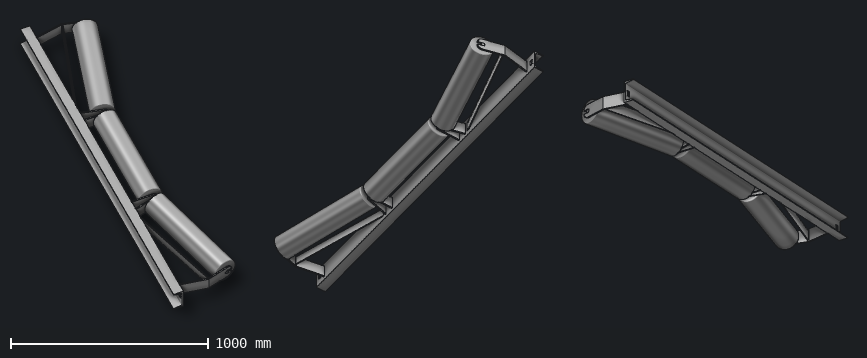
import cadquery as cq
import math


CHANNEL_LENGTH = 1900.0
CHANNEL_HEIGHT = 120.0
FLANGE_WIDTH = 55.0
WEB_THICKNESS = 8.0
FLANGE_TIP_THICKNESS = 5.0
FLANGE_ROOT_THICKNESS = 13.0
ROOT_RADIUS = 8.0
FLANGE_TIP_RADIUS = 4.8
END_HOLE_WIDTH = 17.0
END_HOLE_HEIGHT = 28.0
END_HOLE_INSET = 28.0

PLATE_THICKNESS = 8.0
PLATE_WIDTH = 72.0
PLATE_GAP = 4.0

ROLLER_RADIUS = 66.0
ROLLER_LENGTH = 570.0
ROLLER_EDGE_RADIUS = 5.0
TROUGH_ANGLE = 15.0
CENTRE_ROLLER_Y = 118.0
SIDE_ROLLER_X = 597.0
SIDE_ROLLER_Y = 195.0
AXLE_RADIUS = 10.0

PLATE_NEAR = ROLLER_LENGTH / 2 + PLATE_GAP
PLATE_FAR = PLATE_NEAR + PLATE_THICKNESS
PLATE_MIDDLE = (PLATE_NEAR + PLATE_FAR) / 2
AXLE_LENGTH = 2 * PLATE_FAR

OUTER_PLATE_RISE = 30.0
OUTER_PLATE_DROP = 120.0
OUTER_CORNER_RADIUS = 28.0
OUTER_LEG_ANGLE = 10.0

INNER_BRACKET_TOP = 140.0
INNER_BEND_RADIUS = 10.0

SLOT_LENGTH = 3 * PLATE_WIDTH
SLOT_DEPTH = 3 * PLATE_THICKNESS

BRACE_THICKNESS = 4.8
BRACE_WIDTH = 57.0
BRACE_ANGLE = 16.9
BRACE_ABOVE_BEND = 10.0

TILT = math.radians(TROUGH_ANGLE)
AXIS_DIRECTION = cq.Vector(math.cos(TILT), math.sin(TILT), 0)
PLATE_DIRECTION = cq.Vector(-math.sin(TILT), math.cos(TILT), 0)
SIDE_CENTRE = cq.Vector(SIDE_ROLLER_X, SIDE_ROLLER_Y, 0)
CENTRE_CENTRE = cq.Vector(0, CENTRE_ROLLER_Y, 0)


def side_point(along, above):
    """Point (x, y) measured from the +X side roller's middle, along its axis and square to it."""
    point = SIDE_CENTRE + AXIS_DIRECTION * along + PLATE_DIRECTION * above
    return point.x, point.y


def point_at_y(start, direction, y):
    """Point (x, y) where the line through start along direction reaches the given y."""
    step = (y - start[1]) / direction.y
    return start[0] + direction.x * step, y


def extrude_outline(points, width):
    """Plate with the given outline in XY and its width centred on Z = 0."""
    return cq.Workplane("XY", origin=(0, 0, -width / 2)).polyline(points).close().extrude(width)


def cylinder_along_x(radius, length):
    return cq.Workplane("YZ", origin=(-length / 2, 0, 0)).circle(radius).extrude(length)


def axle_slot(roller_centre, axis, along):
    """Cutter for a slot with a round bottom on the axle, open towards the top of the plate."""
    start = roller_centre + axis * (along - SLOT_DEPTH / 2)
    plane = cq.Plane(origin=start, xDir=(0, 0, 1), normal=axis)
    round_bottom = cq.Workplane(plane).circle(AXLE_RADIUS).extrude(SLOT_DEPTH)
    straight = cq.Workplane(plane).center(0, -SLOT_LENGTH / 2).rect(2 * AXLE_RADIUS, SLOT_LENGTH)
    return round_bottom.union(straight.extrude(SLOT_DEPTH))


def round_long_edges(channel, y, z, radius):
    """Fillet the two edges along X at (y, z) and (y, -z)."""
    upper = channel.edges(cq.selectors.NearestToPointSelector((0, y, z)))
    lower = channel.edges(cq.selectors.NearestToPointSelector((0, y, -z)))
    return upper.add(lower).fillet(radius)


def make_channel():
    half = CHANNEL_HEIGHT / 2
    root_z = half - FLANGE_ROOT_THICKNESS
    tip_z = half - FLANGE_TIP_THICKNESS
    profile = [
        (0, -half),
        (-FLANGE_WIDTH, -half),
        (-FLANGE_WIDTH, -tip_z),
        (-WEB_THICKNESS, -root_z),
        (-WEB_THICKNESS, root_z),
        (-FLANGE_WIDTH, tip_z),
        (-FLANGE_WIDTH, half),
        (0, half),
    ]
    start = cq.Workplane("YZ", origin=(-CHANNEL_LENGTH / 2, 0, 0))
    channel = start.polyline(profile).close().extrude(CHANNEL_LENGTH)
    channel = round_long_edges(channel, -WEB_THICKNESS, root_z, ROOT_RADIUS)
    channel = round_long_edges(channel, -FLANGE_WIDTH, tip_z, FLANGE_TIP_RADIUS)

    hole_x = CHANNEL_LENGTH / 2 - END_HOLE_INSET
    end_holes = (
        cq.Workplane("XZ")
        .pushPoints([(-hole_x, 0), (hole_x, 0)])
        .rect(END_HOLE_WIDTH, END_HOLE_HEIGHT)
        .extrude(WEB_THICKNESS)
    )
    return channel.cut(end_holes)


def make_roller():
    """Roller along X, centred on the origin."""
    shell = cylinder_along_x(ROLLER_RADIUS, ROLLER_LENGTH)
    shell = shell.edges("%CIRCLE").fillet(ROLLER_EDGE_RADIUS)
    return shell.union(cylinder_along_x(AXLE_RADIUS, AXLE_LENGTH))


def make_outer_bracket():
    """Plate at the outer end of the +X side roller, bent once and standing on the channel."""
    leg_tilt = math.radians(OUTER_LEG_ANGLE)
    leg_direction = cq.Vector(math.sin(leg_tilt), math.cos(leg_tilt), 0)
    bend_rise = PLATE_THICKNESS * math.tan((TILT + leg_tilt) / 2)
    bend_far = side_point(PLATE_FAR, -OUTER_PLATE_DROP)
    bend_near = side_point(PLATE_NEAR, -OUTER_PLATE_DROP + bend_rise)
    outline = [
        side_point(PLATE_NEAR, OUTER_PLATE_RISE),
        side_point(PLATE_FAR, OUTER_PLATE_RISE),
        bend_far,
        point_at_y(bend_far, leg_direction, 0),
        point_at_y(bend_near, leg_direction, 0),
        bend_near,
    ]
    bracket = extrude_outline(outline, PLATE_WIDTH)

    top_x, top_y = side_point(PLATE_MIDDLE, OUTER_PLATE_RISE)
    front_corner = bracket.edges(cq.selectors.NearestToPointSelector((top_x, top_y, PLATE_WIDTH / 2)))
    back_corner = bracket.edges(cq.selectors.NearestToPointSelector((top_x, top_y, -PLATE_WIDTH / 2)))
    bracket = front_corner.add(back_corner).fillet(OUTER_CORNER_RADIUS)
    return bracket.cut(axle_slot(SIDE_CENTRE, AXIS_DIRECTION, PLATE_MIDDLE))


def make_inner_bracket():
    """Inverted U between the centre roller and the +X side roller."""
    under = INNER_BRACKET_TOP - PLATE_THICKNESS
    tilted_near = side_point(-PLATE_NEAR, 0)
    tilted_far = side_point(-PLATE_FAR, 0)
    outline = [
        (PLATE_NEAR, 0),
        (PLATE_NEAR, INNER_BRACKET_TOP),
        point_at_y(tilted_near, PLATE_DIRECTION, INNER_BRACKET_TOP),
        point_at_y(tilted_near, PLATE_DIRECTION, 0),
        point_at_y(tilted_far, PLATE_DIRECTION, 0),
        point_at_y(tilted_far, PLATE_DIRECTION, under),
        (PLATE_FAR, under),
        (PLATE_FAR, 0),
    ]
    bracket = extrude_outline(outline, PLATE_WIDTH)
    bracket = bracket.edges("|Z").edges(">Y").fillet(INNER_BEND_RADIUS)
    bracket = bracket.cut(axle_slot(CENTRE_CENTRE, cq.Vector(1, 0, 0), PLATE_MIDDLE))
    return bracket.cut(axle_slot(SIDE_CENTRE, AXIS_DIRECTION, -PLATE_MIDDLE))


def make_brace():
    """Flat strip from the +X outer bracket, just above its bend, down to the channel."""
    slope = math.radians(BRACE_ANGLE)
    direction = cq.Vector(math.cos(slope), math.sin(slope), 0)
    upper_height = BRACE_ABOVE_BEND - OUTER_PLATE_DROP
    lower_height = upper_height - BRACE_THICKNESS / math.cos(slope - TILT)
    upper = side_point(PLATE_NEAR, upper_height)
    lower = side_point(PLATE_NEAR, lower_height)
    outline = [upper, point_at_y(upper, direction, 0), point_at_y(lower, direction, 0), lower]
    return extrude_outline(outline, BRACE_WIDTH)


channel = make_channel()
centre_roller = make_roller().translate(CENTRE_CENTRE)
side_roller = make_roller().rotate((0, 0, 0), (0, 0, 1), TROUGH_ANGLE).translate(SIDE_CENTRE)

bodies = [channel.solids().val(), centre_roller.solids().val()]
for body in (side_roller, make_outer_bracket(), make_inner_bracket(), make_brace()):
    bodies.append(body.solids().val())
    bodies.append(body.mirror("YZ").solids().val())

result = cq.Compound.makeCompound(bodies)